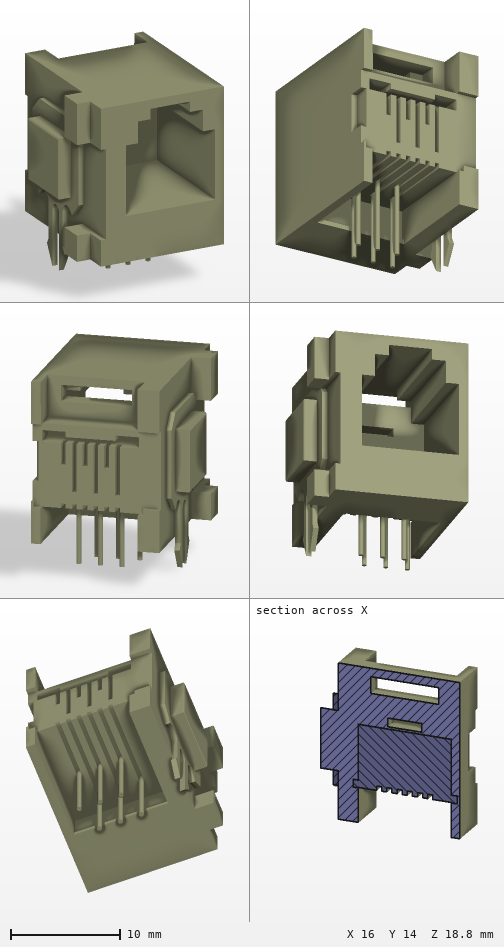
import cadquery as cq
import math

LENGTH = 16.0
DEPTH = 14.0
HEIGHT = 15.42
SIDE_Y = 1.86

REAR_STEP = 0.5
STEP_BOTTOM = 4.02
STEP_TOP = 11.4
CHAMBER_Y0 = 3.91
CHAMBER_Y1 = 13.1
CENTRE_Y = (CHAMBER_Y0 + CHAMBER_Y1) / 2
CHAMBER_WIDTH = CHAMBER_Y1 - CHAMBER_Y0
CHAMBER_TOP = 10.73
POCKET_LENGTH = 2.63
POCKET_DRAFT = 0.05
WEB_THICKNESS = 1.88
WEB_FRONT = POCKET_LENGTH + WEB_THICKNESS
BUMP_WIDTH = 4.7
BUMP_BOTTOM = 10.23
WINDOW_WIDTH = 3.37
WINDOW_BOTTOM = 9.93
LATCH_HOLE_BOTTOM = 12.93

PLUG_FLOOR = 4.51
PLUG_TOP = 11.4
KEYWAY_WIDTH = 6.71
KEYWAY_TOP = 13.52
LATCH_WIDTH = 4.08
LATCH_TOP = 14.53

BASE_END = 10.34
SILL_LENGTH = 0.38
SILL_HEIGHT = 0.43

RECESS_LENGTH = 2.25
RECESS_DEPTH = 0.56
RECESS_Z = 7.7
RECESS_MOUTH = 3.8
RECESS_FLOOR = 3.93

POST_X0 = 11.4
POST_X1 = 13.87
LOWER_FLANGE_TOP = 2.55
UPPER_FLANGE_BOTTOM = 11.4

CLIP_THICKNESS = 0.5
CLIP_Y0 = SIDE_Y - CLIP_THICKNESS
CLIP_CENTRE_X = 7.03
CLIP_HALF_WIDTH = 4.57
CLIP_TOP = 12.35
CLIP_BEVEL = 1.35
CLIP_LOWER_CORNER = 4.51
SCALLOP_RADIUS = 0.85
SCALLOP_Z = 2.88
STEM_HALF_WIDTH = 1.4
SLOT_RADIUS = 0.65
SLOT_ARC_Z = 2.43
BARB_TOP = -0.62
BARB_Z = -1.25
BARB_REACH = 0.34
TIP_Z = -3.14

BOSS_SIZE = 5.98
BOSS_BOTTOM = 4.75
BOSS_Y0 = 0.05
BOSS_BEVEL = 0.08
BOSS_TOP_BEVEL = 0.15

INSERT_BOTTOM = 3.44
INSERT_TOP = 9.65
RAIL_TOP = 4.15
RAIL_REACH_CLIP_SIDE = 0.5
RAIL_REACH_PLAIN_SIDE = 0.6
WALL_NOTCH_MARGIN = 0.05
RIDGE_WIDTH = 3.08
SLOT_DEPTH = 1.13
SHORT_SLOT_BOTTOM = 7.52
LONG_SLOT_BOTTOM = 4.96

PIN_COUNT = 6
FIRST_PIN_Y = 5.96
PIN_SPREAD = 5.11
PIN_PITCH = PIN_SPREAD / (PIN_COUNT - 1)
PIN_DIAMETER = 0.45
PIN_BOTTOM = -3.38
PIN_TOP = 3.87
PIN_ROWS_X = (8.55, 6.02)


def box(x0, x1, y0, y1, z0, z1):
    return cq.Workplane("XY").box(x1 - x0, y1 - y0, z1 - z0, centered=False).translate((x0, y0, z0))


def centred_box(x0, x1, width, z0, z1):
    return box(x0, x1, CENTRE_Y - width / 2, CENTRE_Y + width / 2, z0, z1)


def pin_y(i):
    return FIRST_PIN_Y + i * PIN_PITCH


def rails():
    return box(REAR_STEP, BASE_END, CHAMBER_Y0 - RAIL_REACH_CLIP_SIDE, CHAMBER_Y1 + RAIL_REACH_PLAIN_SIDE,
               INSERT_BOTTOM, RAIL_TOP)


def make_boss():
    x0 = CLIP_CENTRE_X - BOSS_SIZE / 2
    boss = box(x0, x0 + BOSS_SIZE, BOSS_Y0, SIDE_Y, BOSS_BOTTOM, BOSS_BOTTOM + BOSS_SIZE)
    boss = boss.faces("<Y").edges().chamfer(BOSS_BEVEL)
    top_ramp = (
        cq.Workplane("YZ", origin=(x0, 0, 0))
        .polyline([
            (BOSS_Y0, BOSS_BOTTOM + BOSS_SIZE),
            (BOSS_Y0, BOSS_BOTTOM + BOSS_SIZE - BOSS_TOP_BEVEL),
            (BOSS_Y0 + BOSS_BEVEL, BOSS_BOTTOM + BOSS_SIZE),
        ])
        .close()
        .extrude(BOSS_SIZE)
    )
    return boss.cut(top_ramp)


def make_top_pocket():
    return (
        cq.Workplane("YZ")
        .moveTo(CHAMBER_Y0, STEP_TOP)
        .lineTo(CHAMBER_Y1 - POCKET_DRAFT, STEP_TOP)
        .lineTo(CHAMBER_Y1, HEIGHT)
        .lineTo(CHAMBER_Y0, HEIGHT)
        .close()
        .extrude(POCKET_LENGTH)
    )


def make_recess():
    floor_y = DEPTH - RECESS_DEPTH
    return (
        cq.Workplane("YZ")
        .moveTo(DEPTH, RECESS_Z - RECESS_MOUTH / 2)
        .lineTo(DEPTH, RECESS_Z + RECESS_MOUTH / 2)
        .lineTo(floor_y, RECESS_Z + RECESS_FLOOR / 2)
        .lineTo(floor_y, RECESS_Z - RECESS_FLOOR / 2)
        .close()
        .extrude(RECESS_LENGTH)
    )


def make_housing():
    body = box(0, LENGTH, SIDE_Y, DEPTH, 0, HEIGHT)
    for z0, z1 in ((0, LOWER_FLANGE_TOP), (UPPER_FLANGE_BOTTOM, HEIGHT)):
        body = body.union(box(POST_X0, POST_X1, 0, SIDE_Y, z0, z1))
        body = body.union(box(POST_X1, LENGTH, CLIP_Y0, SIDE_Y, z0, z1))
    body = body.union(make_boss())

    body = body.cut(box(0, REAR_STEP, SIDE_Y, DEPTH, STEP_BOTTOM, STEP_TOP))
    body = body.cut(make_top_pocket())
    body = body.cut(centred_box(0, POCKET_LENGTH, CHAMBER_WIDTH, INSERT_BOTTOM, CHAMBER_TOP))
    body = body.union(centred_box(REAR_STEP, POCKET_LENGTH, BUMP_WIDTH, BUMP_BOTTOM, CHAMBER_TOP))
    body = body.cut(centred_box(POCKET_LENGTH, WEB_FRONT, WINDOW_WIDTH, WINDOW_BOTTOM, CHAMBER_TOP))
    body = body.cut(centred_box(POCKET_LENGTH, WEB_FRONT, KEYWAY_WIDTH, LATCH_HOLE_BOTTOM, LATCH_TOP))
    body = body.cut(centred_box(POCKET_LENGTH, WEB_FRONT, CHAMBER_WIDTH, INSERT_BOTTOM, INSERT_TOP))

    for width, top in ((CHAMBER_WIDTH, PLUG_TOP), (KEYWAY_WIDTH, KEYWAY_TOP), (LATCH_WIDTH, LATCH_TOP)):
        body = body.cut(centred_box(WEB_FRONT, LENGTH, width, PLUG_FLOOR, top))

    body = body.cut(centred_box(0, BASE_END, CHAMBER_WIDTH, SILL_HEIGHT, PLUG_FLOOR))
    body = body.cut(centred_box(0, BASE_END - SILL_LENGTH, CHAMBER_WIDTH, 0, SILL_HEIGHT))
    body = body.cut(rails())
    body = body.cut(rails().translate((-REAR_STEP, 0, 0)))
    rail_end_y = CHAMBER_Y1 + RAIL_REACH_PLAIN_SIDE
    body = body.cut(box(0, REAR_STEP, rail_end_y, rail_end_y + WALL_NOTCH_MARGIN, INSERT_BOTTOM, RAIL_TOP))

    return body.cut(make_recess())


def make_insert():
    body = centred_box(REAR_STEP, WEB_FRONT, CHAMBER_WIDTH, INSERT_BOTTOM, INSERT_TOP)
    body = body.union(centred_box(REAR_STEP, BASE_END, CHAMBER_WIDTH, INSERT_BOTTOM, PLUG_FLOOR))
    body = body.union(rails())
    slot_end = REAR_STEP + SLOT_DEPTH
    body = body.union(centred_box(slot_end, POCKET_LENGTH, RIDGE_WIDTH, INSERT_TOP, WINDOW_BOTTOM))
    for i in range(PIN_COUNT):
        y0 = pin_y(i) - PIN_DIAMETER / 2
        y1 = y0 + PIN_DIAMETER
        slot_bottom = LONG_SLOT_BOTTOM if i % 2 == 0 else SHORT_SLOT_BOTTOM
        body = body.cut(box(REAR_STEP, slot_end, y0, y1, slot_bottom, INSERT_TOP))
        groove_end = PIN_ROWS_X[i % 2] + PIN_DIAMETER / 2
        body = body.cut(box(REAR_STEP, groove_end, y0, y1, INSERT_BOTTOM, PIN_TOP))
    return body


def make_clip():
    scallop_x = STEM_HALF_WIDTH + SCALLOP_RADIUS
    diagonal = SCALLOP_RADIUS * math.sqrt(0.5)
    slot_diagonal = SLOT_RADIUS * math.sqrt(0.5)
    top_half = CLIP_HALF_WIDTH - CLIP_BEVEL
    lobe_z = SCALLOP_Z + diagonal - (top_half - scallop_x - diagonal)
    half = (
        cq.Workplane("XZ", origin=(CLIP_CENTRE_X, SIDE_Y, 0))
        .moveTo(0, CLIP_TOP)
        .lineTo(top_half, CLIP_TOP)
        .lineTo(CLIP_HALF_WIDTH, CLIP_TOP - CLIP_BEVEL)
        .lineTo(CLIP_HALF_WIDTH, CLIP_LOWER_CORNER)
        .lineTo(top_half, lobe_z)
        .lineTo(scallop_x + diagonal, SCALLOP_Z + diagonal)
        .threePointArc((scallop_x, SCALLOP_Z + SCALLOP_RADIUS), (STEM_HALF_WIDTH, SCALLOP_Z))
        .lineTo(STEM_HALF_WIDTH, BARB_TOP)
        .lineTo(STEM_HALF_WIDTH + BARB_REACH, BARB_Z)
        .lineTo(SLOT_RADIUS, TIP_Z)
        .lineTo(SLOT_RADIUS, SLOT_ARC_Z)
        .threePointArc((slot_diagonal, SLOT_ARC_Z + slot_diagonal), (0, SLOT_ARC_Z + SLOT_RADIUS))
        .close()
        .extrude(CLIP_THICKNESS)
    )
    clip = half.union(half.mirror("YZ", (CLIP_CENTRE_X, 0, 0)))
    return clip.cut(make_boss())


def make_pin(i):
    return (
        cq.Workplane("XY", origin=(PIN_ROWS_X[i % 2], pin_y(i), PIN_BOTTOM))
        .circle(PIN_DIAMETER / 2)
        .extrude(PIN_TOP - PIN_BOTTOM)
    )


housing = make_housing()
insert = make_insert()
clip = make_clip()
pins = [make_pin(i) for i in range(PIN_COUNT)]

result = cq.Compound.makeCompound([housing.val(), insert.val(), clip.val(), *[p.val() for p in pins]])